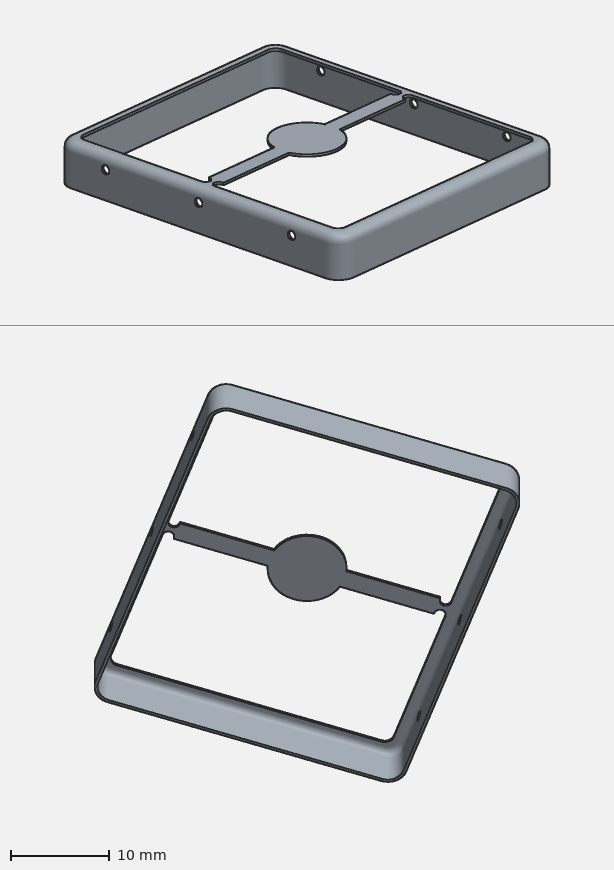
import cadquery as cq

LENGTH = 38.2
WIDTH = 33.3
HEIGHT = 5.0
CORNER_RADIUS = 2.0
TOP_EDGE_RADIUS = 1.0

LIP_WIDTH = 1.5
LIP_CORNER_RADIUS = 1.0
SHEET_THICKNESS = 0.3
WALL_THICKNESS = 0.3

DISC_DIAMETER = 8.0
STRIP_WIDTH = 2.0
NECK_WIDTH = 0.6
NOTCH_HEIGHT = 1.2
NOTCH_LENGTH = STRIP_WIDTH

HOLE_DIAMETER = 1.0
HOLE_SPACING = 12.5
HOLE_HEIGHT = 3.4

LIP_OPENING_LENGTH = LENGTH - 2 * LIP_WIDTH
LIP_OPENING_WIDTH = WIDTH - 2 * LIP_WIDTH
SHEET_BOTTOM = HEIGHT - SHEET_THICKNESS


def rounded_block(length, width, height, corner_radius):
    """Block standing on Z = 0 with rounded vertical edges."""
    block = cq.Workplane("XY").box(length, width, height, centered=(True, True, False))
    return block.edges("|Z").fillet(corner_radius)


def make_frame():
    """Rounded frame, open through its height, as a thin shell with an inward lip at the top."""
    body = rounded_block(LENGTH, WIDTH, HEIGHT, CORNER_RADIUS)
    body = body.faces(">Z").edges().fillet(TOP_EDGE_RADIUS)
    lip_opening = rounded_block(LIP_OPENING_LENGTH, LIP_OPENING_WIDTH, HEIGHT, LIP_CORNER_RADIUS)
    wall_cavity = rounded_block(
        LENGTH - 2 * WALL_THICKNESS,
        WIDTH - 2 * WALL_THICKNESS,
        SHEET_BOTTOM,
        CORNER_RADIUS - WALL_THICKNESS,
    )
    wall_cavity = wall_cavity.faces(">Z").edges().fillet(TOP_EDGE_RADIUS - WALL_THICKNESS)
    return body.cut(lip_opening).cut(wall_cavity)


def make_bridge():
    """Thin strip with a central disc, necked by round-ended notches at both ends."""
    sheet = cq.Workplane("XY").workplane(offset=SHEET_BOTTOM)
    strip_length = LIP_OPENING_WIDTH + LIP_WIDTH / 2
    strip = sheet.rect(STRIP_WIDTH, strip_length).extrude(SHEET_THICKNESS)
    disc = sheet.circle(DISC_DIAMETER / 2).extrude(SHEET_THICKNESS)

    notch_x = (NECK_WIDTH + NOTCH_LENGTH) / 2
    notch_y = (LIP_OPENING_WIDTH - NOTCH_HEIGHT) / 2
    notch_centers = [(x, y) for x in (-notch_x, notch_x) for y in (-notch_y, notch_y)]
    notches = sheet.pushPoints(notch_centers).slot2D(NOTCH_LENGTH, NOTCH_HEIGHT).extrude(SHEET_THICKNESS)
    return strip.cut(notches).union(disc)


def make_cross_holes():
    """Row of pins along Y that drill both long walls."""
    centers = [(i * HOLE_SPACING, HOLE_HEIGHT) for i in (-1, 0, 1)]
    return cq.Workplane("XZ").pushPoints(centers).circle(HOLE_DIAMETER / 2).extrude(WIDTH, both=True)


result = make_frame().union(make_bridge()).cut(make_cross_holes())